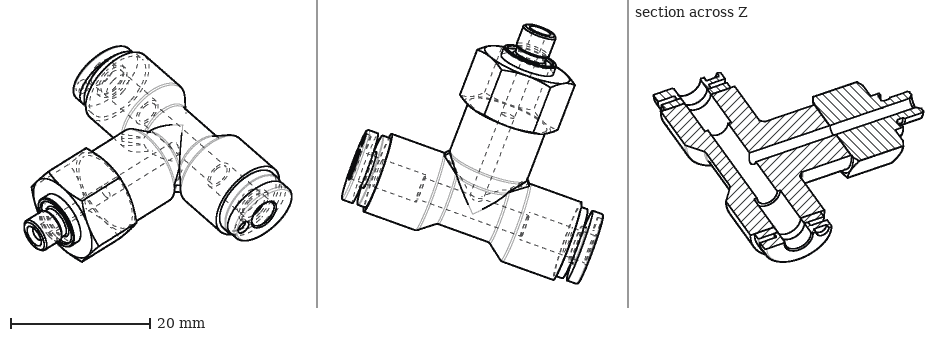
import cadquery as cq
import math

CORE_DIA = 8.0
ARM_DIA = 11.9
ARM_LENGTH = 14.5
CONE_START = 4.0
CONE_END = 6.5
BLEND_RADIUS = 0.5
WEB_THICKNESS = 1.5
RUN_BORE_DIA = 3.2
BRANCH_BORE_DIA = 2.0
TUBE_SEAT_DIA = 4.15
TUBE_STOP = 7.95

COLLAR_DIA = 10.6
COLLAR_END = 15.7
COLLAR_ROUND = 0.1

SLEEVE_DIA = 5.5
SLEEVE_BORE_DIA = 4.2
SLEEVE_END = 18.1
BORE_CHAMFER = 0.2
FLANGE_WIDTH = 10.82
FLANGE_HEIGHT = 8.6
FLANGE_THICKNESS = 1.65
FLANGE_ROUND = 0.3
ROOT_ROUND = 0.1
KEY_HOLE_DIA = 2.0
KEY_HOLE_OFFSET = 3.85
KEY_HOLE_DEPTH = 0.72

HEX_FLATS = 13.0
HEX_END = 22.5
HEX_CHAMFER_ANGLE = 24.0
SEAT_DIA = 8.0
SEAT_END = 23.85
SEAT_CHAMFER = 0.1
RECESS_DIA = 7.0
RECESS_DEPTH = 0.35
NECK_DIA = 4.5
THREAD_DIA = 5.0
THREAD_START = 24.58
OVERALL_DEPTH = 33.85
STUD_END = OVERALL_DEPTH - ARM_DIA / 2
THREAD_CHAMFER = (THREAD_DIA - NECK_DIA) / 2
MOUTH_DIA = 3.2
MOUTH_DEPTH = (MOUTH_DIA - BRANCH_BORE_DIA) / 2

HEX_CORNERS = HEX_FLATS / math.cos(math.pi / 6)


def cylinder(axis_plane, diameter, start, end):
    """Cylinder along the normal of a plane, between two distances from the origin."""
    return cq.Workplane(axis_plane).workplane(offset=start).circle(diameter / 2).extrude(end - start)


def revolve_about_y(points):
    """Solid of revolution about Y from (radius, y) points."""
    return cq.Workplane("XY").polyline(points).close().revolve(360, (0, 0, 0), (0, 1, 0))


def make_arm():
    """One arm of the tee along -Y, with both ends of its cone rounded."""
    arm = revolve_about_y([
        (0, 0),
        (CORE_DIA / 2, 0),
        (CORE_DIA / 2, -CONE_START),
        (ARM_DIA / 2, -CONE_END),
        (ARM_DIA / 2, -ARM_LENGTH),
        (0, -ARM_LENGTH),
    ])
    cone_top = cq.selectors.NearestToPointSelector((0, -CONE_START, 0))
    cone_base = cq.selectors.NearestToPointSelector((0, -CONE_END, 0))
    return arm.edges("%CIRCLE").edges(cone_top + cone_base).fillet(BLEND_RADIUS)


def make_tee():
    tee = make_arm()
    for turn in (-90, 90):
        tee = tee.union(make_arm().rotate((0, 0, 0), (0, 0, 1), turn))

    web = (
        cq.Workplane("XY")
        .polyline([
            (-CONE_END, 0),
            (-CONE_END, -ARM_DIA / 2),
            (-ARM_DIA / 2, -CONE_END),
            (ARM_DIA / 2, -CONE_END),
            (CONE_END, -ARM_DIA / 2),
            (CONE_END, 0),
        ])
        .close()
        .extrude(WEB_THICKNESS / 2, both=True)
    )
    tee = tee.union(web)

    tee = tee.cut(cylinder("YZ", RUN_BORE_DIA, -ARM_LENGTH, ARM_LENGTH))
    tee = tee.cut(cylinder("XZ", BRANCH_BORE_DIA, 0, ARM_LENGTH))
    for side in (-1, 1):
        tee = tee.cut(cylinder("YZ", TUBE_SEAT_DIA, side * TUBE_STOP, side * ARM_LENGTH))
    return tee


def make_collar(side):
    """Plain ring on the end face of a run arm; side is -1 or 1 along X."""
    collar = cylinder("YZ", COLLAR_DIA, side * ARM_LENGTH, side * COLLAR_END)
    collar = collar.faces("<X" if side < 0 else ">X").edges().fillet(COLLAR_ROUND)
    return collar.cut(cylinder("YZ", TUBE_SEAT_DIA, side * ARM_LENGTH, side * COLLAR_END))


def make_sleeve(side):
    """Release sleeve with an oval flange, resting on the collar; side is -1 or 1 along X."""
    outer_face = "<X" if side < 0 else ">X"
    flange_start = SLEEVE_END - FLANGE_THICKNESS
    flange = (
        cq.Workplane("YZ")
        .workplane(offset=side * flange_start)
        .ellipse(FLANGE_WIDTH / 2, FLANGE_HEIGHT / 2)
        .extrude(side * FLANGE_THICKNESS)
        .faces(outer_face).edges().fillet(FLANGE_ROUND)
    )
    sleeve = flange.union(cylinder("YZ", SLEEVE_DIA, side * COLLAR_END, side * flange_start))
    root_edge = cq.selectors.NearestToPointSelector((side * flange_start, 0, 0))
    sleeve = sleeve.edges("%CIRCLE").edges(root_edge).fillet(ROOT_ROUND)
    sleeve = sleeve.cut(cylinder("YZ", SLEEVE_BORE_DIA, side * COLLAR_END, side * SLEEVE_END))
    sleeve = sleeve.faces(outer_face).edges("%CIRCLE").chamfer(BORE_CHAMFER)
    key_hole = cylinder("YZ", KEY_HOLE_DIA, side * (SLEEVE_END - KEY_HOLE_DEPTH), side * SLEEVE_END)
    return sleeve.cut(key_hole.translate((0, -KEY_HOLE_OFFSET, 0)))


def make_stud():
    hexagon = (
        cq.Workplane("XZ")
        .workplane(offset=ARM_LENGTH)
        .polygon(6, HEX_CORNERS)
        .extrude(HEX_END - ARM_LENGTH)
    )
    corner_radius = HEX_CORNERS / 2
    chamfer_depth = (HEX_CORNERS - HEX_FLATS) / 2 * math.tan(math.radians(HEX_CHAMFER_ANGLE))
    chamfered_round = revolve_about_y([
        (0, -ARM_LENGTH),
        (HEX_FLATS / 2, -ARM_LENGTH),
        (corner_radius, -ARM_LENGTH - chamfer_depth),
        (corner_radius, -HEX_END + chamfer_depth),
        (HEX_FLATS / 2, -HEX_END),
        (0, -HEX_END),
    ])
    hexagon = hexagon.intersect(chamfered_round)

    recess_floor = SEAT_END - RECESS_DEPTH
    spigot = revolve_about_y([
        (0, -HEX_END),
        (SEAT_DIA / 2, -HEX_END),
        (SEAT_DIA / 2, -SEAT_END + SEAT_CHAMFER),
        (SEAT_DIA / 2 - SEAT_CHAMFER, -SEAT_END),
        (RECESS_DIA / 2, -SEAT_END),
        (RECESS_DIA / 2, -recess_floor),
        (THREAD_DIA / 2, -recess_floor),
        (NECK_DIA / 2, -recess_floor - THREAD_CHAMFER),
        (NECK_DIA / 2, -THREAD_START),
        (THREAD_DIA / 2, -THREAD_START - THREAD_CHAMFER),
        (THREAD_DIA / 2, -STUD_END + THREAD_CHAMFER),
        (NECK_DIA / 2, -STUD_END),
        (0, -STUD_END),
    ])
    mouth = revolve_about_y([
        (0, -STUD_END),
        (MOUTH_DIA / 2, -STUD_END),
        (BRANCH_BORE_DIA / 2, -STUD_END + MOUTH_DEPTH),
        (0, -STUD_END + MOUTH_DEPTH),
    ])
    bore = cylinder("XZ", BRANCH_BORE_DIA, ARM_LENGTH, STUD_END)
    return hexagon.union(spigot).cut(bore).cut(mouth)


tee = make_tee()
stud = make_stud()
collars = [make_collar(side) for side in (-1, 1)]
sleeves = [make_sleeve(side) for side in (-1, 1)]

result = cq.Compound.makeCompound([
    tee.solids().val(),
    stud.solids().val(),
    *[collar.solids().val() for collar in collars],
    *[sleeve.solids().val() for sleeve in sleeves],
])